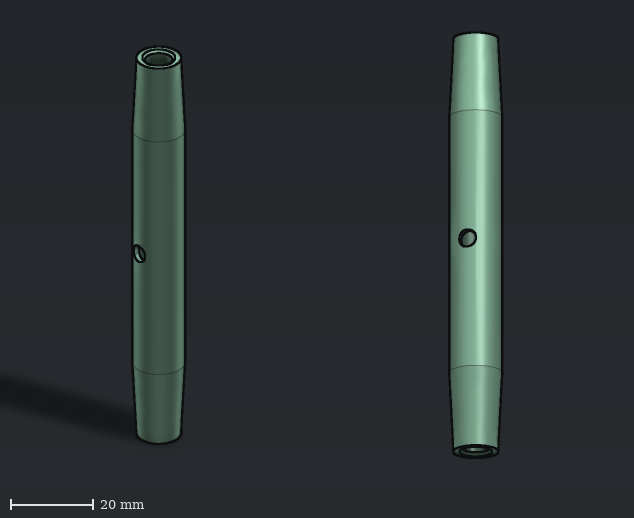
import cadquery as cq

length = 105.0
body_diameter = 13.0
end_diameter = 11.0
taper_length = 20.0

upper_bore_diameter = 6.65
lower_bore_diameter = 6.35
middle_bore_diameter = 10.0
mouth_diameter = 8.0

cross_hole_diameter = 4.3

half_length = length / 2
straight_half_length = half_length - taper_length


def end_outline(bore_diameter):
    """Return (radius, height) points of the upper end, from the middle bore out to the body."""
    mouth_depth = (mouth_diameter - bore_diameter) / 2
    return [
        (middle_bore_diameter / 2, straight_half_length),
        (bore_diameter / 2, straight_half_length),
        (bore_diameter / 2, half_length - mouth_depth),
        (mouth_diameter / 2, half_length),
        (end_diameter / 2, half_length),
        (body_diameter / 2, straight_half_length),
    ]


def make_tube():
    """Revolve the wall section, between the outer skin and the stepped bore, about Z."""
    upper_end = end_outline(upper_bore_diameter)
    lower_end = [(radius, -height) for radius, height in reversed(end_outline(lower_bore_diameter))]
    section = cq.Workplane("XZ").polyline(upper_end + lower_end).close()
    return section.revolve(360, (0, 0, 0), (0, 1, 0))


def make_cross_hole():
    """Cylinder along Y, long enough to pass through both walls."""
    return cq.Workplane("XZ").circle(cross_hole_diameter / 2).extrude(body_diameter / 2, both=True)


result = make_tube().cut(make_cross_hole())